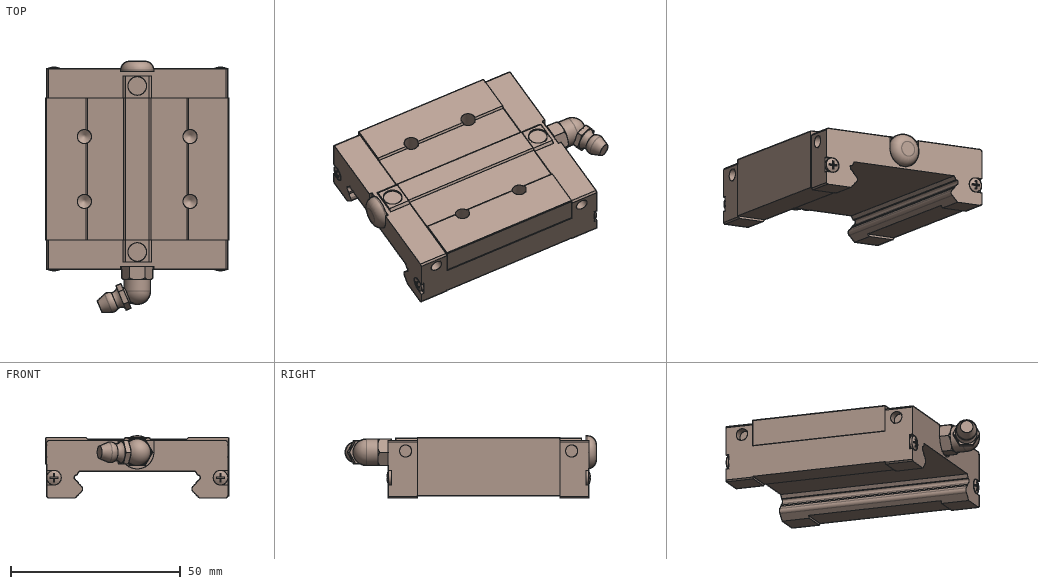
import cadquery as cq
import math

block_length = 41.95
block_width = 54.0
block_bottom = 0.7
block_top = 17.85
block_relief_height = 10.0
pad_inner_x = 14.6
pad_slope = 0.5
block_edge_chamfer = 0.2
valley_top = 17.35
rib_half_width = 3.5
block_rib_slope = 0.5

cap_width = 53.4
cap_top = 17.0
cap_end = 27.4
cap_rib_slope = 0.75
cap_rib_top = 17.65
top_chamfer = 0.5
bottom_chamfer = 0.45
seal_end = 29.6

channel_ceiling = (17.1, 7.85)
channel_shoulder = (17.8, 6.75)
groove_arc = [(18.15, 6.7), (18.5, 5.9), (18.2, 5.4)]
flank_step = [(17.5, 4.75), (17.3, 4.3)]
lip_arc = [(16.3, 3.3), (16.1, 2.6), (16.45, 1.85)]
channel_mouth_x = 18.3

mount_hole_x = 15.6
mount_hole_y = 9.55
mount_hole_radius = 2.1
mount_hole_depth = 5.9
drill_point_angle = 118.0

cap_hole_y = 24.45
top_recess_radius = 2.75
top_recess_depth = 0.5
side_hole_radius = 1.8
side_hole_z = 13.85
side_hole_depth = 3.0

port_z = 13.5
port_radius = 4.9
pocket_depth = 0.9
pocket_floor = seal_end - pocket_depth
plug_end = 31.8
plug_fillet = 2.7

screw_x = 24.5
screw_z = 6.0
screw_radius = 2.15
screw_end = 30.0
screw_dome_rise = 0.6
cross_length = 2.45
cross_width = 0.4
cross_depth = 0.45

elbow_hex_flats = 7.9
elbow_hex_length = 3.85
elbow_hex_chamfer = 0.45
elbow_radius = 3.9
nipple_angle = 22.5
nipple_hex_start = 3.55
nipple_hex_length = 1.6
nipple_hex_flats = 6.8
nipple_shoulder_radius = 3.2
nipple_waist_radius = 2.7
nipple_waist = 6.0
nipple_neck_radius = 2.5
nipple_neck = 7.2
nipple_bulge_radius = 3.05
nipple_bulge = 8.4
nipple_cone_radius = 3.0
nipple_cone = 9.2
nipple_tip_radius = 1.85
nipple_tip = 12.0
nipple_end_y = -42.3
tilt = math.radians(nipple_angle)
elbow_centre_y = nipple_end_y + nipple_tip * math.sin(tilt) + nipple_tip_radius * math.cos(tilt)


def extrude_along_y(points, start, end):
    """Solid with the given XZ outline, reaching from Y = start to Y = end."""
    outline = cq.Workplane("XZ", origin=(0, end, 0)).polyline(points).close()
    return outline.extrude(end - start)


def y_cylinder(x, z, radius, start, end):
    return cq.Workplane("XZ", origin=(x, end, z)).circle(radius).extrude(end - start)


def mirrored_outline(right_half):
    """Close a right-half XZ outline with its mirror image in X."""
    return right_half + [(-x, z) for x, z in reversed(right_half)]


def steel_block():
    half_width = block_width / 2
    body = extrude_along_y(
        mirrored_outline([
            (rib_half_width, block_top),
            (rib_half_width + block_rib_slope, valley_top),
            (pad_inner_x, valley_top),
            (pad_inner_x + pad_slope, block_top),
            (half_width - block_edge_chamfer, block_top),
            (half_width, block_top - block_edge_chamfer),
            (half_width, block_bottom),
        ]),
        -block_length / 2,
        block_length / 2,
    )
    relief_depth = (block_width - cap_width) / 2
    relief = cq.Workplane("XY").box(
        relief_depth, block_length, block_relief_height, centered=(False, True, False)
    )
    return body.cut(relief.translate((-half_width, 0, 0)))


def end_caps():
    """One bar for both caps and seals; the block covers its middle."""
    half_width = cap_width / 2
    bar = extrude_along_y(
        mirrored_outline([
            (half_width - top_chamfer, cap_top),
            (half_width, cap_top - top_chamfer),
            (half_width, bottom_chamfer),
            (half_width - bottom_chamfer, 0),
        ]),
        -seal_end,
        seal_end,
    )
    rib = extrude_along_y(
        mirrored_outline([
            (rib_half_width, cap_rib_top),
            (rib_half_width + cap_rib_slope, cap_top),
        ]),
        -cap_end,
        cap_end,
    )
    block_space = cq.Workplane("XY").box(2 * block_width, block_length, 4 * block_top)
    return bar.union(rib).cut(block_space)


def rail_channel():
    half = (
        cq.Workplane("XZ", origin=(0, seal_end, 0))
        .moveTo(0, channel_ceiling[1])
        .lineTo(*channel_ceiling)
        .lineTo(*channel_shoulder)
        .lineTo(*groove_arc[0])
        .threePointArc(*groove_arc[1:])
        .lineTo(*flank_step[0])
        .lineTo(*flank_step[1])
        .lineTo(*lip_arc[0])
        .threePointArc(*lip_arc[1:])
        .lineTo(channel_mouth_x, 0)
        .lineTo(0, 0)
        .close()
        .extrude(2 * seal_end)
    )
    return half.union(half.mirror("YZ"))


def mounting_hole():
    point_height = mount_hole_radius / math.tan(math.radians(drill_point_angle / 2))
    floor = block_top - mount_hole_depth
    profile = cq.Workplane("XZ").polyline([
        (0, block_top),
        (mount_hole_radius, block_top),
        (mount_hole_radius, floor),
        (0, floor - point_height),
    ])
    return profile.close().revolve(360, (0, 0), (0, 1))


def port_pocket():
    """Round-bottomed pocket in the -Y seal, open at the top."""
    pocket = y_cylinder(0, port_z, port_radius, -seal_end, -pocket_floor)
    opening = cq.Workplane("XY").box(
        2 * port_radius, pocket_depth, block_top - port_z, centered=(True, False, False)
    )
    return pocket.union(opening.translate((0, -seal_end, port_z)))


def screw_pocket(side):
    """Pocket in the -Y seal for a screw head, open toward the given X side."""
    pocket = y_cylinder(side * screw_x, screw_z, screw_radius, -seal_end, -pocket_floor)
    opening = cq.Workplane("XY").box(2 * screw_radius, pocket_depth, 2 * screw_radius)
    opening_x = side * (screw_x + screw_radius)
    return pocket.union(opening.translate((opening_x, -seal_end + pocket_depth / 2, screw_z)))


def screw_head(side):
    """Domed, cross-recessed screw head on the -Y end."""
    head = y_cylinder(side * screw_x, screw_z, screw_radius, -screw_end, -pocket_floor)
    dome_radius = (screw_radius**2 + screw_dome_rise**2) / (2 * screw_dome_rise)
    dome = cq.Workplane("XY").sphere(dome_radius)
    head = head.intersect(dome.translate((side * screw_x, dome_radius - screw_end, screw_z)))
    bar = cq.Workplane("XY").box(cross_length, 2 * cross_depth, cross_width)
    cross = bar.union(bar.rotate((0, 0, 0), (0, 1, 0), 90))
    return head.cut(cross.translate((side * screw_x, -screw_end, screw_z)))


def plug():
    """Domed plug closing the +Y port."""
    return y_cylinder(0, port_z, port_radius, pocket_floor, plug_end).faces(">Y").fillet(plug_fillet)


def hexagon(flats, length):
    """Hexagonal prism along -Y from the origin, with corners at +X and -X."""
    corner_diameter = flats / math.cos(math.pi / 6)
    return cq.Workplane("XZ").polygon(6, corner_diameter).extrude(length)


def elbow():
    """Hexagon and round-ended barrel, centred on the -Y port axis."""
    corner_radius = elbow_hex_flats / 2 / math.cos(math.pi / 6)
    chamfer_envelope = cq.Workplane("XZ").circle(corner_radius).extrude(elbow_hex_length)
    chamfer_envelope = chamfer_envelope.faces("<Y").chamfer(elbow_hex_chamfer)
    nut = hexagon(elbow_hex_flats, elbow_hex_length).intersect(chamfer_envelope)
    nut = nut.translate((0, -pocket_floor, port_z))
    barrel = y_cylinder(0, port_z, elbow_radius, elbow_centre_y, -pocket_floor)
    ball = cq.Workplane("XY").sphere(elbow_radius).translate((0, elbow_centre_y, port_z))
    return nut.union(barrel).union(ball)


def nipple():
    """Grease nipple, built along -Y and then turned onto its own axis."""
    nut = hexagon(nipple_hex_flats, nipple_hex_start + nipple_hex_length)
    inside_elbow = cq.Workplane("XZ").rect(block_width, block_width).extrude(nipple_hex_start)
    nut = nut.cut(inside_elbow)
    shoulder = nipple_hex_start + nipple_hex_length
    profile = (
        cq.Workplane("XY")
        .moveTo(0, 0)
        .lineTo(nipple_neck_radius, 0)
        .lineTo(nipple_neck_radius, -nipple_hex_start)
        .lineTo(nipple_shoulder_radius, -shoulder)
        .threePointArc((nipple_waist_radius, -nipple_waist), (nipple_neck_radius, -nipple_neck))
        .threePointArc((nipple_bulge_radius, -nipple_bulge), (nipple_cone_radius, -nipple_cone))
        .lineTo(nipple_tip_radius, -nipple_tip)
        .lineTo(0, -nipple_tip)
        .close()
    )
    fitting = nut.union(profile.revolve(360, (0, 0), (0, 1)))
    fitting = fitting.rotate((0, 0, 0), (0, 0, 1), nipple_angle - 90)
    return fitting.translate((0, elbow_centre_y, port_z))


def at_both_ends(shape):
    """The shape together with its mirror image in Y."""
    return shape.union(shape.mirror("XZ"))


carriage = steel_block().union(end_caps())
carriage = carriage.cut(rail_channel())

for x in (-mount_hole_x, mount_hole_x):
    for y in (-mount_hole_y, mount_hole_y):
        carriage = carriage.cut(mounting_hole().translate((x, y, 0)))

top_recess = cq.Workplane("XY").circle(top_recess_radius).extrude(top_recess_depth)
side_hole = cq.Workplane("YZ").circle(side_hole_radius).extrude(side_hole_depth)
for y in (-cap_hole_y, cap_hole_y):
    carriage = carriage.cut(top_recess.translate((0, y, cap_rib_top - top_recess_depth)))
    for x in (-cap_width / 2, cap_width / 2 - side_hole_depth):
        carriage = carriage.cut(side_hole.translate((x, y, side_hole_z)))

carriage = carriage.cut(at_both_ends(port_pocket()))
for side in (-1, 1):
    carriage = carriage.cut(at_both_ends(screw_pocket(side)))
    carriage = carriage.union(at_both_ends(screw_head(side)))

result = carriage.union(plug()).union(elbow()).union(nipple())